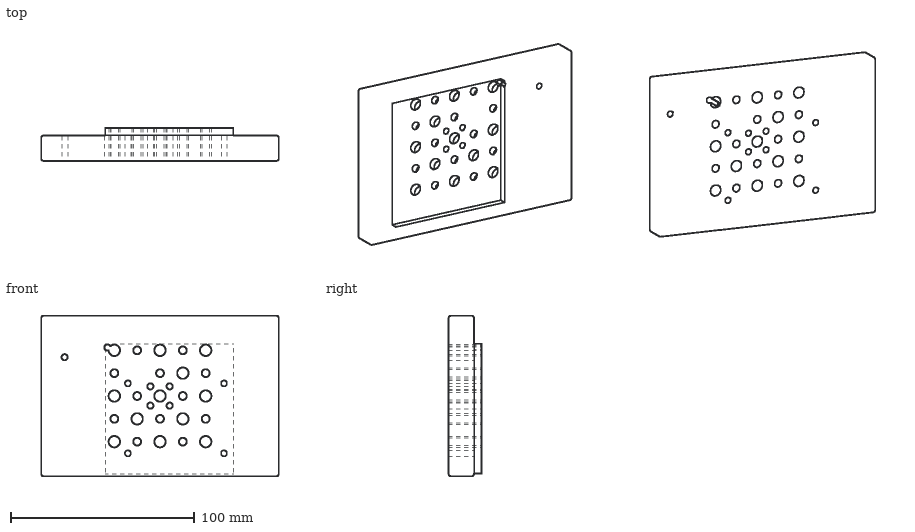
import cadquery as cq

HOUSING_WIDTH = 130.0
HOUSING_DEPTH = 14.0
HOUSING_HEIGHT = 87.9
EDGE_RADIUS = 1.5

PLATE_WIDTH = 70.1
PLATE_DEPTH = 4.0
PLATE_HEIGHT = 71.1
PLATE_CENTER_X = 5.1
PLATE_CENTER_Z = -6.9

TOTAL_DEPTH = HOUSING_DEPTH + PLATE_DEPTH

GRID_PITCH = 12.5
GRID_REACH = 2
GRID_GAP = (-1, 1)
LARGE_DIAMETER = 6.1
SMALL_DIAMETER = 4.2

SCREW_DIAMETER = 3.2
CENTER_SCREW_SPACING = 10.5
INDEX_HOLE = (-28.7, 26.5)
SIDE_HOLE = (-52.1, 21.2)
MOUNT_SPACING_X = 52.5
MOUNT_SPACING_Z = 38.2
MOUNT_CENTER_X = 8.7
MOUNT_CENTER_Z = -12.2


def block(width, depth, height, center_x, front_y, center_z):
    """Box placed by its X and Z centre and its front face."""
    return cq.Workplane("XY").box(width, depth, height).translate((center_x, front_y + depth / 2, center_z))


def drills(points, diameter, depth):
    """Cylinders from the front face (Y = 0) toward +Y at the given (x, z) points."""
    return cq.Workplane("XZ").pushPoints(points).circle(diameter / 2).extrude(-depth)


def rectangle_corners(spacing_x, spacing_z, center_x=0.0, center_z=0.0):
    """The four (x, z) corners of a rectangle."""
    return [
        (center_x + side_x * spacing_x / 2, center_z + side_z * spacing_z / 2)
        for side_x in (-1, 1)
        for side_z in (-1, 1)
    ]


def grid_points(parity):
    """Grid places whose column and row sum is even (parity 0) or odd (parity 1)."""
    steps = range(-GRID_REACH, GRID_REACH + 1)
    return [
        (column * GRID_PITCH, row * GRID_PITCH)
        for column in steps
        for row in steps
        if (column + row) % 2 == parity and (column, row) != GRID_GAP
    ]


def cut_shared_holes(body):
    """Cut the holes that run through both the housing and the plate."""
    screw_points = rectangle_corners(CENTER_SCREW_SPACING, CENTER_SCREW_SPACING) + [INDEX_HOLE]
    body = body.cut(drills(grid_points(0), LARGE_DIAMETER, TOTAL_DEPTH))
    body = body.cut(drills(grid_points(1), SMALL_DIAMETER, TOTAL_DEPTH))
    return body.cut(drills(screw_points, SCREW_DIAMETER, TOTAL_DEPTH))


def make_housing():
    """Rounded block; its side and mounting holes go through the housing only."""
    body = block(HOUSING_WIDTH, HOUSING_DEPTH, HOUSING_HEIGHT, 0, 0, 0)
    body = body.edges().fillet(EDGE_RADIUS)
    body = cut_shared_holes(body)
    mount_points = rectangle_corners(MOUNT_SPACING_X, MOUNT_SPACING_Z, MOUNT_CENTER_X, MOUNT_CENTER_Z)
    return body.cut(drills(mount_points + [SIDE_HOLE], SCREW_DIAMETER, HOUSING_DEPTH))


def make_plate():
    """Flat plate that closes the rear ends of the mounting holes."""
    body = block(PLATE_WIDTH, PLATE_DEPTH, PLATE_HEIGHT, PLATE_CENTER_X, HOUSING_DEPTH, PLATE_CENTER_Z)
    return cut_shared_holes(body)


housing = make_housing().solids()
plate = make_plate().solids()

result = cq.Compound.makeCompound([housing.val(), plate.val()])